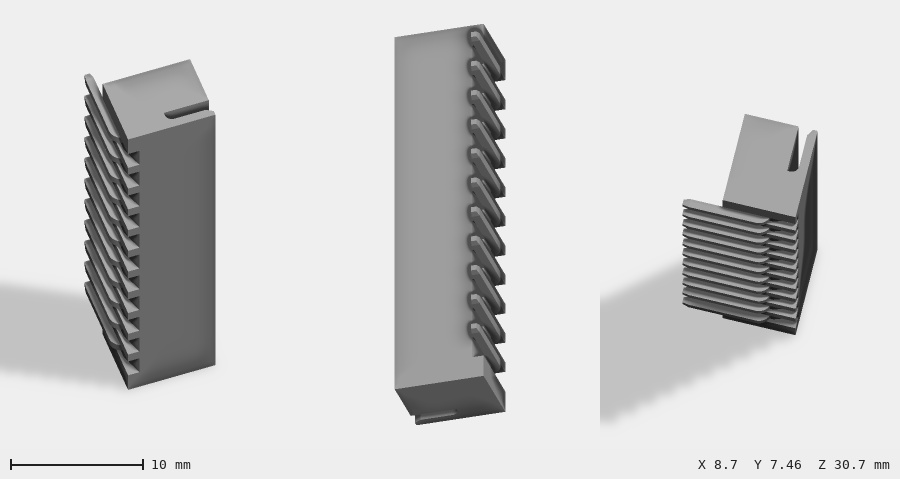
import cadquery as cq


PIN_COUNT = 11
PITCH = 2.54
PIN_SIZE = 0.64

BODY_WIDTH = 5.65
BODY_DEPTH = 7.0
BODY_LENGTH = 30.66

LATCH_WALL = 0.69
LATCH_GAP = 0.79
LATCH_SLOT_DEPTH = 3.6
LATCH_ROOT_RADIUS = 0.55
LATCH_LEAD_IN_X = 0.32
LATCH_LEAD_IN_Y = 0.53

POCKET_LENGTH = 1.7
LAND_START = 2.76
LAND_END = 3.86
LAND_DEPTH = 0.29
LEFT_EDGE_DEPTH = 0.9
RIGHT_EDGE_DEPTH = 0.9

PIN_PROUD = 0.46
PIN_OVERHANG = 3.05
PIN_LEG_OUTER = 3.68
BEND_RADIUS = 1.0
PIN_EMBED = 1.0
TIP_LENGTH = 0.52
TIP_SIZE = 0.42


def make_housing():
    """Plain block with its -X, -Y edge on the Z axis, centred along Z."""
    return cq.Workplane("XY").box(
        BODY_WIDTH, BODY_DEPTH, BODY_LENGTH, centered=(False, False, True)
    )


def make_latch_slot():
    """Slot open at +Y, with a rounded root and a lead-in on the latch wall."""
    gap_right = BODY_WIDTH - LATCH_WALL
    gap_left = gap_right - LATCH_GAP
    root = BODY_DEPTH - LATCH_SLOT_DEPTH
    return (
        cq.Workplane("XY", origin=(0, 0, -BODY_LENGTH / 2))
        .moveTo(gap_left, BODY_DEPTH)
        .lineTo(gap_left, root)
        .lineTo(gap_right - LATCH_ROOT_RADIUS, root)
        .radiusArc((gap_right, root + LATCH_ROOT_RADIUS), -LATCH_ROOT_RADIUS)
        .lineTo(gap_right, BODY_DEPTH - LATCH_LEAD_IN_Y)
        .lineTo(gap_right + LATCH_LEAD_IN_X, BODY_DEPTH)
        .close()
        .extrude(BODY_LENGTH)
    )


def make_pocket(z):
    """Pocket across the full width of the -Y face, centred at height z."""
    return (
        cq.Workplane("XY", origin=(0, 0, z - POCKET_LENGTH / 2))
        .polyline([
            (0, 0),
            (0, LEFT_EDGE_DEPTH),
            (LAND_START, LAND_DEPTH),
            (LAND_END, LAND_DEPTH),
            (BODY_WIDTH, RIGHT_EDGE_DEPTH),
            (BODY_WIDTH, 0),
        ])
        .close()
        .extrude(POCKET_LENGTH)
    )


def make_pin(z):
    """Square bent pin centred at height z, with a tapered tip at its -X end."""
    outer_y = -PIN_PROUD
    inner_y = outer_y + PIN_SIZE
    leg_inner = PIN_LEG_OUTER - PIN_SIZE
    bend_x = PIN_LEG_OUTER - BEND_RADIUS
    bend_y = outer_y + BEND_RADIUS
    inner_radius = BEND_RADIUS - PIN_SIZE
    leg_end = LAND_DEPTH + PIN_EMBED
    taper_x = TIP_LENGTH - PIN_OVERHANG

    shank = (
        cq.Workplane("XY", origin=(0, 0, z - PIN_SIZE / 2))
        .moveTo(taper_x, outer_y)
        .lineTo(bend_x, outer_y)
        .radiusArc((PIN_LEG_OUTER, bend_y), -BEND_RADIUS)
        .lineTo(PIN_LEG_OUTER, leg_end)
        .lineTo(leg_inner, leg_end)
        .lineTo(leg_inner, bend_y)
        .radiusArc((bend_x, inner_y), inner_radius)
        .lineTo(taper_x, inner_y)
        .close()
        .extrude(PIN_SIZE)
    )
    tip = (
        cq.Workplane("YZ", origin=(-PIN_OVERHANG, outer_y + PIN_SIZE / 2, z))
        .rect(TIP_SIZE, TIP_SIZE)
        .workplane(offset=TIP_LENGTH)
        .rect(PIN_SIZE, PIN_SIZE)
        .loft()
    )
    return shank.union(tip)


pin_heights = [(i - (PIN_COUNT - 1) / 2) * PITCH for i in range(PIN_COUNT)]

result = make_housing().cut(make_latch_slot())
for height in pin_heights:
    result = result.cut(make_pocket(height))
for height in pin_heights:
    result = result.union(make_pin(height))